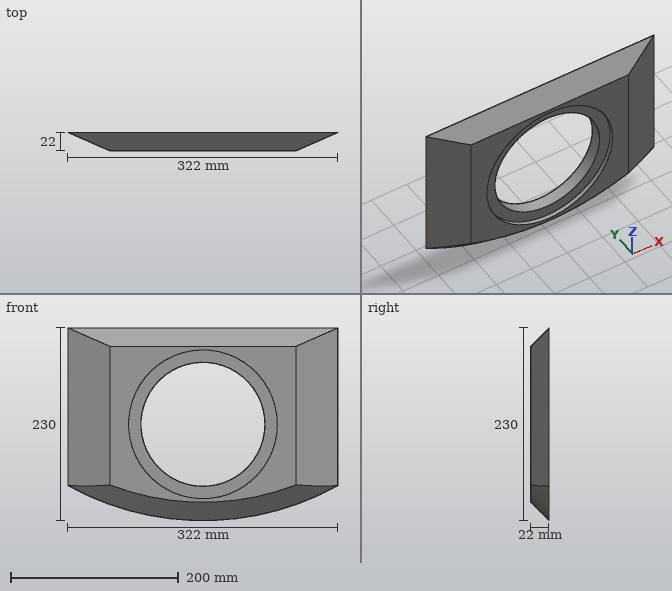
import cadquery as cq

width = 322.0
height = 230.0
thickness = 22.0

side_bevel = 50.0
edge_bevel = thickness

bottom_radius = 330.0

bore_diameter = 147.6
recess_diameter = 177.4
recess_depth = 5.6

half_width = width / 2
top_z = height / 2
bottom_z = -height / 2
arc_center_z = bottom_z + bottom_radius


def side_tapered_block():
    """Trapezoid in plan, narrow at the front, extruded over the full height."""
    front_half_width = half_width - side_bevel
    return (
        cq.Workplane("XY")
        .workplane(offset=bottom_z)
        .moveTo(-half_width, 0)
        .lineTo(half_width, 0)
        .lineTo(front_half_width, -thickness)
        .lineTo(-front_half_width, -thickness)
        .close()
        .extrude(height)
    )


def top_tapered_block():
    """Full-width slab whose top edge slopes down toward the front."""
    return (
        cq.Workplane("YZ")
        .workplane(offset=-half_width)
        .moveTo(0, bottom_z)
        .lineTo(0, top_z)
        .lineTo(-thickness, top_z - edge_bevel)
        .lineTo(-thickness, bottom_z)
        .close()
        .extrude(width)
    )


def bottom_cone():
    """Conical disc that rounds and bevels the bottom edge."""
    front_radius = bottom_radius - edge_bevel
    return (
        cq.Workplane("XY")
        .moveTo(0, 0)
        .lineTo(bottom_radius, 0)
        .lineTo(front_radius, -thickness)
        .lineTo(0, -thickness)
        .close()
        .revolve(360, (0, 0, 0), (0, 1, 0))
        .translate((0, 0, arc_center_z))
    )


def front_cylinder(diameter, depth):
    """Cylinder on the bore axis, cut inward from the front face."""
    return (
        cq.Workplane("XZ", origin=(0, -thickness, 0))
        .circle(diameter / 2)
        .extrude(-depth)
    )


plate = side_tapered_block().intersect(top_tapered_block()).intersect(bottom_cone())
plate = plate.cut(front_cylinder(bore_diameter, thickness))
result = plate.cut(front_cylinder(recess_diameter, recess_depth))